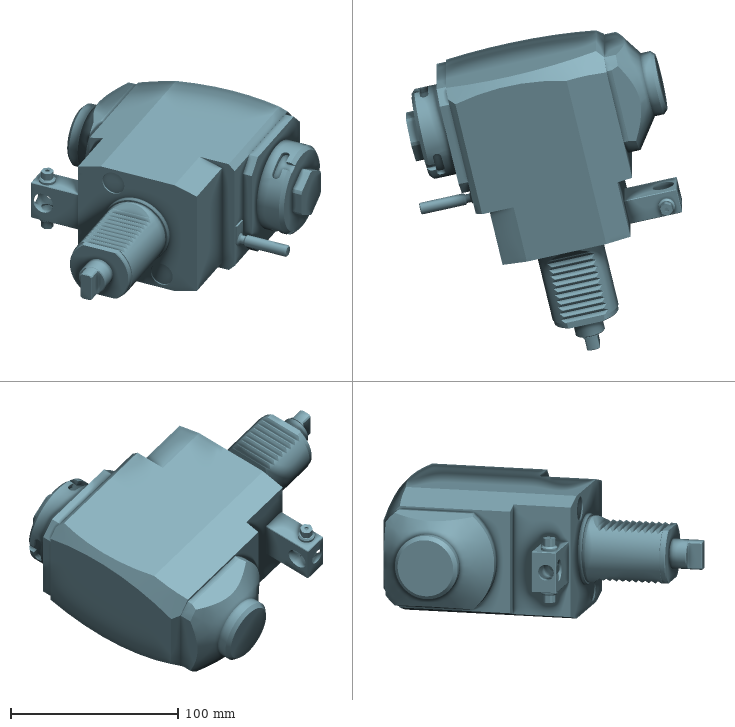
import cadquery as cq
import math

BODY_HEIGHT = 75.0
HALF_HEIGHT = BODY_HEIGHT / 2
BODY_BACK_Y = 114.0
STEP_Y = 35.0
HEAD_LEFT_X = -48.4
HEAD_RIGHT_X = 47.6
FOOT_HALF_WIDTH = 39.2
TAPER_START_X = 24.4
TAPER_SLOPE = math.tan(math.radians(15))
HEAD_CHAMFER = 3.9
CROWN_RADIUS = 132.0
CROWN_Y = 109.7
CROWN_X = 11.0
PLUG_RADIUS = 7.3
PLUG_X = 16.0
PLUG_Z = 27.9
PLUG_DEPTH = 1.0

SPINDLE_Y = 80.2

CAP_LEFT_X = -76.5
CAP_NOSE_RADIUS = 19.3
CAP_NOSE_CHAMFER = 2.2
CAP_CONE_X = -68.5
CAP_RIM_X = -55.6
CAP_RADIUS = 37.2
CAP_FLAT_X = -51.5
CAP_FLAT_Z = 29.4

PLATE_THICKNESS = 5.8
PLATE_SIZE = 67.0
PLATE_CHAMFER = 8.5
NUT_RADIUS = 27.5
NUT_LENGTH = 17.3
NUT_CHAMFER = 2.2
NUT_GAP = 0.5
NUT_GAP_DEPTH = 1.1
NUT_SLOT_X = 62.7
NUT_SLOT_WIDTH = 5.2
NUT_SLOT_LENGTH = 19.0
NUT_SLOT_DEPTH = 3.0
NUT_SLOT_COUNT = 3
NUT_SLOT_START = -28.5
HEX_ACROSS_FLATS = 27.2
HEX_CORNER_RADIUS = 15.0
HEX_LENGTH = 6.1

PIN_Y = 40.4
PIN_Z = -17.3
PIN_END_X = 80.4
PIN_RADIUS = 3.5
PIN_START_X = 53.2
PIN_NECK_RADIUS = 2.6
PIN_COLLAR_RADIUS = 4.0
PIN_COLLAR_LENGTH = 1.0
PIN_CONE_LENGTH = 1.1
PIN_EDGE = 0.5
TAB_LENGTH = 11.2
TAB_THICKNESS = 1.1

FLANGE_RADIUS = 21.4
FLANGE_LENGTH = 2.2
FLANGE_EDGE = 0.5
RELIEF_RADIUS = 19.7
RELIEF_END_Y = -3.9
SHANK_RADIUS = 20.3
SHANK_END_Y = -53.2
SHANK_TIP_Y = -49.8
SHANK_EDGE = 0.5
TOOTH_FLAT_Z = 16.2
TOOTH_RAMP_Y = -9.1
TOOTH_PITCH = 4.0
TOOTH_DEPTH = 1.9
TOOTH_COUNT = 10
TOOTH_FIRST_Y = -11.5
TANG_RADIUS = 9.0
TANG_STEP_Y = -63.5
TANG_END_Y = BODY_BACK_Y - 186.0
TANG_WIDTH = 7.8
TANG_EDGE = 0.5
TANG_CORNER = 1.3
TANG_ROOT = 1.0

BLOCK_LEFT_X = -71.2
BLOCK_LOW_Y = 1.3
BLOCK_HIGH_Y = 16.2
BLOCK_HEIGHT = 25.0
BLOCK_EDGE = 0.4
PORT_X = -63.0
PORT_Y = 7.3
FRONT_PORT_RADIUS = 6.5
SIDE_PORT_RADIUS = 4.8
SIDE_PORT_END_X = -46.5
FEED_RADIUS = 1.5
SCREW_BORE_RADIUS = 3.5
SCREW_BORE_END_Z = 6.9
SCREW_FLANGE_RADIUS = 5.0
SCREW_ACROSS_FLATS = 6.9
SCREW_HEAD_RADIUS = 3.7
SCREW_FLANGE_HEIGHT = 1.5
SCREW_CONE_HEIGHT = 1.0
SCREW_HEAD_HEIGHT = 4.6
SCREW_SOCKET_RADIUS = 1.3
SCREW_SOCKET_DEPTH = 1.0


def along_x(start_x, y=SPINDLE_Y, z=0):
    """Sketch plane facing +X; its local axes are Y and Z."""
    return cq.Workplane("YZ", origin=(start_x, y, z))


def prism_along_y(outline, start_y, end_y):
    """Extrude an outline of (x, z) points from start_y up to end_y."""
    plane = cq.Workplane("XZ", origin=(0, start_y, 0))
    return plane.polyline(outline).close().extrude(start_y - end_y)


def turned_x(profile, y, z):
    """Revolve (x, radius) points about the line through y, z parallel to X."""
    plane = cq.Workplane("XY", origin=(0, y, z))
    return plane.polyline(profile).close().revolve(360, (0, 0), (1, 0))


def turned_y(profile):
    """Revolve (radius, y) points about the shank axis."""
    return cq.Workplane("XY").polyline(profile).close().revolve(360, (0, 0), (0, 1))


def mirrored_outline(upper):
    """Close an upper (x, z) edge with its mirror image below Z = 0."""
    return upper + [(x, -z) for x, z in reversed(upper)]


def top_at(x):
    """Height of the 15 degree tapered top beyond TAPER_START_X."""
    return HALF_HEIGHT - (abs(x) - TAPER_START_X) * TAPER_SLOPE


def make_housing():
    head_edge = [
        (HEAD_LEFT_X, top_at(HEAD_LEFT_X)),
        (-TAPER_START_X, HALF_HEIGHT),
        (HEAD_RIGHT_X - HEAD_CHAMFER, HALF_HEIGHT),
        (HEAD_RIGHT_X, HALF_HEIGHT - HEAD_CHAMFER),
    ]
    head = prism_along_y(mirrored_outline(head_edge), STEP_Y, BODY_BACK_Y)
    head = head.faces(">Y").edges("<X").chamfer(HEAD_CHAMFER)

    base_radius = CROWN_RADIUS + CROWN_Y
    cone_height = BODY_BACK_Y + 1.9
    axis_offset = CROWN_RADIUS - HALF_HEIGHT
    for side in (1, -1):
        cone = cq.Solid.makeCone(
            base_radius,
            base_radius - cone_height,
            cone_height,
            pnt=cq.Vector(CROWN_X, 0, -side * axis_offset),
            dir=cq.Vector(0, 1, 0),
        )
        head = head.intersect(cq.Workplane(cone))

    foot_edge = [
        (-FOOT_HALF_WIDTH, top_at(FOOT_HALF_WIDTH)),
        (-TAPER_START_X, HALF_HEIGHT),
        (TAPER_START_X, HALF_HEIGHT),
        (FOOT_HALF_WIDTH, top_at(FOOT_HALF_WIDTH)),
    ]
    foot = prism_along_y(mirrored_outline(foot_edge), 0, STEP_Y)
    plugs = (
        cq.Workplane("XZ")
        .pushPoints([(-PLUG_X, PLUG_Z), (PLUG_X, -PLUG_Z)])
        .circle(PLUG_RADIUS)
        .extrude(-PLUG_DEPTH)
    )
    return head.union(foot.cut(plugs))


def make_cap():
    profile = [
        (CAP_LEFT_X, 0),
        (CAP_LEFT_X, CAP_NOSE_RADIUS - CAP_NOSE_CHAMFER),
        (CAP_LEFT_X + CAP_NOSE_CHAMFER, CAP_NOSE_RADIUS),
        (CAP_CONE_X, CAP_NOSE_RADIUS),
        (CAP_RIM_X, CAP_RADIUS),
        (HEAD_LEFT_X, CAP_RADIUS),
        (HEAD_LEFT_X, 0),
    ]
    cap = turned_x(profile, SPINDLE_Y, 0)
    flat_run = CAP_FLAT_X - CAP_LEFT_X
    envelope_edge = [
        (CAP_LEFT_X, CAP_FLAT_Z - flat_run * TAPER_SLOPE),
        (CAP_FLAT_X, CAP_FLAT_Z),
        (HEAD_LEFT_X, CAP_FLAT_Z),
    ]
    envelope = prism_along_y(mirrored_outline(envelope_edge), STEP_Y, CROWN_Y)
    return cap.intersect(envelope)


def make_nut(start_x):
    end_x = start_x + NUT_LENGTH
    nut = along_x(start_x).circle(NUT_RADIUS).extrude(NUT_LENGTH)
    nut = nut.faces(">X").edges().chamfer(NUT_CHAMFER)

    gap = along_x(start_x).circle(NUT_RADIUS).circle(NUT_RADIUS - NUT_GAP_DEPTH).extrude(NUT_GAP)
    nut = nut.cut(gap)

    slot = (
        cq.Workplane("XY", origin=(NUT_SLOT_X, SPINDLE_Y, 0))
        .slot2D(NUT_SLOT_LENGTH, NUT_SLOT_WIDTH, 90)
        .extrude(NUT_RADIUS)
    )
    slot = slot.cut(along_x(start_x).circle(NUT_RADIUS - NUT_SLOT_DEPTH).extrude(NUT_LENGTH))
    notch = (
        cq.Workplane("XY", origin=(NUT_SLOT_X, SPINDLE_Y, NUT_RADIUS - NUT_SLOT_DEPTH))
        .center((end_x - NUT_SLOT_X) / 2, 0)
        .rect(end_x - NUT_SLOT_X, NUT_SLOT_WIDTH)
        .extrude(NUT_RADIUS)
    )
    cutter = slot.union(notch)
    for index in range(NUT_SLOT_COUNT):
        angle = NUT_SLOT_START + index * 360 / NUT_SLOT_COUNT
        nut = nut.cut(cutter.rotate((0, SPINDLE_Y, 0), (1, SPINDLE_Y, 0), -angle))
    return nut


def make_spindle_end():
    plate_end_x = HEAD_RIGHT_X + PLATE_THICKNESS
    nut_end_x = plate_end_x + NUT_LENGTH
    plate = along_x(HEAD_RIGHT_X).rect(PLATE_SIZE, PLATE_SIZE).extrude(PLATE_THICKNESS)
    plate = plate.edges("|X").chamfer(PLATE_CHAMFER)

    corner_diameter = HEX_ACROSS_FLATS / math.cos(math.pi / 6)
    hexagon = (
        along_x(nut_end_x)
        .transformed(rotate=(0, 0, 90))
        .polygon(6, corner_diameter)
        .extrude(HEX_LENGTH)
    )
    hexagon = hexagon.intersect(along_x(nut_end_x).circle(HEX_CORNER_RADIUS).extrude(HEX_LENGTH))
    return plate.union(make_nut(plate_end_x)).union(hexagon)


def make_pin():
    collar_end_x = HEAD_RIGHT_X + PIN_COLLAR_LENGTH
    profile = [
        (HEAD_RIGHT_X, 0),
        (HEAD_RIGHT_X, PIN_COLLAR_RADIUS),
        (collar_end_x, PIN_COLLAR_RADIUS),
        (collar_end_x + PIN_CONE_LENGTH, PIN_NECK_RADIUS),
        (PIN_START_X - PIN_CONE_LENGTH, PIN_NECK_RADIUS),
        (PIN_START_X, PIN_RADIUS),
        (PIN_END_X - PIN_EDGE, PIN_RADIUS),
        (PIN_END_X, PIN_RADIUS - PIN_EDGE),
        (PIN_END_X, 0),
    ]
    tab = (
        along_x(HEAD_RIGHT_X, PIN_Y, PIN_Z + TAB_LENGTH / 2)
        .rect(2 * PIN_COLLAR_RADIUS, TAB_LENGTH)
        .extrude(TAB_THICKNESS)
    )
    return turned_x(profile, PIN_Y, PIN_Z).union(tab)


def make_tooth_cutter():
    """Material above the toothed flat on the +Z side of the shank."""
    ramp_rise = SHANK_RADIUS + 1.9 - TOOTH_FLAT_Z
    outline = [
        (TOOTH_RAMP_Y + ramp_rise, TOOTH_FLAT_Z + ramp_rise),
        (TOOTH_RAMP_Y, TOOTH_FLAT_Z),
    ]
    for index in range(TOOTH_COUNT):
        valley_y = TOOTH_FIRST_Y - index * TOOTH_PITCH
        outline += [
            (valley_y + TOOTH_DEPTH, TOOTH_FLAT_Z),
            (valley_y, TOOTH_FLAT_Z - TOOTH_DEPTH),
            (valley_y - TOOTH_DEPTH, TOOTH_FLAT_Z),
        ]
    outline += [
        (SHANK_END_Y, TOOTH_FLAT_Z),
        (SHANK_END_Y, TOOTH_FLAT_Z + ramp_rise),
    ]
    return cq.Workplane("YZ").polyline(outline).close().extrude(SHANK_RADIUS, both=True)


def make_shank():
    shank = turned_y([
        (0, 0),
        (FLANGE_RADIUS, 0),
        (FLANGE_RADIUS, FLANGE_EDGE - FLANGE_LENGTH),
        (FLANGE_RADIUS - FLANGE_EDGE, -FLANGE_LENGTH),
        (RELIEF_RADIUS, -FLANGE_LENGTH),
        (RELIEF_RADIUS, RELIEF_END_Y),
        (SHANK_RADIUS, RELIEF_END_Y),
        (SHANK_RADIUS, SHANK_TIP_Y),
        (RELIEF_RADIUS, SHANK_TIP_Y),
        (RELIEF_RADIUS, SHANK_END_Y + SHANK_EDGE),
        (RELIEF_RADIUS - SHANK_EDGE, SHANK_END_Y),
        (0, SHANK_END_Y),
    ])
    cutter = make_tooth_cutter()
    return shank.cut(cutter).cut(cutter.mirror("XY"))


def make_tang():
    neck = turned_y([
        (0, SHANK_END_Y),
        (TANG_RADIUS, SHANK_END_Y),
        (TANG_RADIUS, TANG_STEP_Y + TANG_EDGE),
        (TANG_RADIUS - TANG_EDGE, TANG_STEP_Y),
        (0, TANG_STEP_Y),
    ])
    blade_length = TANG_STEP_Y - TANG_END_Y
    blade_section = cq.Workplane("XZ", origin=(0, TANG_STEP_Y, 0))
    blade = blade_section.rect(TANG_WIDTH, 2 * TANG_RADIUS).extrude(blade_length)
    blade = blade.edges("|Y").chamfer(TANG_CORNER)
    blade = blade.faces("<Y").edges().chamfer(TANG_EDGE)

    half_width = TANG_WIDTH / 2
    root_edge = [
        (half_width + TANG_ROOT, TANG_STEP_Y),
        (half_width, TANG_STEP_Y - TANG_ROOT),
    ]
    root_outline = root_edge + [(-x, y) for x, y in reversed(root_edge)]
    root = cq.Workplane("XY").polyline(root_outline).close().extrude(TANG_RADIUS, both=True)

    round_stock = blade_section.circle(TANG_RADIUS).extrude(blade_length)
    return neck.union(blade.union(root).intersect(round_stock))


def make_screw():
    """Flanged hexagon screw standing on the +Z face of the coolant block."""
    cone_z = BLOCK_HEIGHT / 2 + SCREW_FLANGE_HEIGHT
    head_z = cone_z + SCREW_CONE_HEIGHT
    seat = cq.Workplane("XY", origin=(PORT_X, PORT_Y, BLOCK_HEIGHT / 2))
    flange = seat.circle(SCREW_FLANGE_RADIUS).extrude(SCREW_FLANGE_HEIGHT + SCREW_CONE_HEIGHT)
    flange = flange.faces(">Z").edges().chamfer(SCREW_CONE_HEIGHT)
    corner_diameter = SCREW_ACROSS_FLATS / math.cos(math.pi / 6)
    head_plane = cq.Workplane("XY", origin=(PORT_X, PORT_Y, head_z))
    head = (
        head_plane.transformed(rotate=(0, 0, 90))
        .polygon(6, corner_diameter)
        .extrude(SCREW_HEAD_HEIGHT)
    )
    head = head.intersect(head_plane.circle(SCREW_HEAD_RADIUS).extrude(SCREW_HEAD_HEIGHT))
    socket_top = head.faces(">Z").workplane(origin=(PORT_X, PORT_Y))
    head = socket_top.hole(2 * SCREW_SOCKET_RADIUS, SCREW_SOCKET_DEPTH)
    return flange.union(head)


def make_coolant_block():
    length = -FOOT_HALF_WIDTH - BLOCK_LEFT_X
    depth = BLOCK_HIGH_Y - BLOCK_LOW_Y
    block = (
        along_x(BLOCK_LEFT_X, (BLOCK_LOW_Y + BLOCK_HIGH_Y) / 2)
        .rect(depth, BLOCK_HEIGHT)
        .extrude(length)
    )
    block = block.edges("|X or <X").chamfer(BLOCK_EDGE)

    front_port = (
        cq.Workplane("XZ", origin=(PORT_X, BLOCK_LOW_Y, 0))
        .circle(FRONT_PORT_RADIUS)
        .extrude(-depth)
    )
    side_port = along_x(BLOCK_LEFT_X, PORT_Y).circle(SIDE_PORT_RADIUS).extrude(SIDE_PORT_END_X - BLOCK_LEFT_X)
    feed = along_x(BLOCK_LEFT_X, PORT_Y).circle(FEED_RADIUS).extrude(length)
    screw_bores = (
        cq.Workplane("XY", origin=(PORT_X, PORT_Y, 0))
        .circle(SCREW_BORE_RADIUS)
        .extrude(SCREW_BORE_END_Z, both=True)
    )
    block = block.cut(front_port).cut(side_port).cut(feed).cut(screw_bores)

    screw = make_screw()
    return block.union(screw).union(screw.mirror("XY"))


result = (
    make_housing()
    .union(make_cap())
    .union(make_spindle_end())
    .union(make_pin())
    .union(make_shank())
    .union(make_tang())
    .union(make_coolant_block())
)